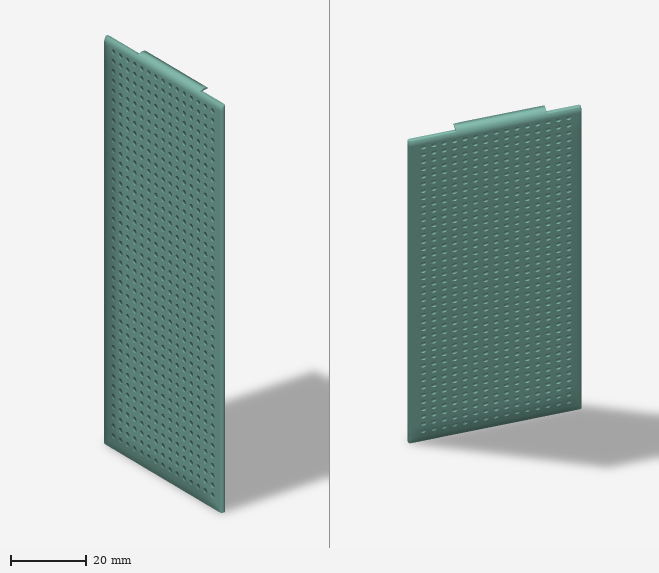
import cadquery as cq

width = 47.7
total_height = 127.7
thickness = 1.5
side_radius = 0.6
plate_height = 127.0

roll_radius = 2.2
roll_axis_y = roll_radius
roll_axis_z = total_height - roll_radius

lip_depth = 3.5
lip_width = 25.0
lip_center_x = 1.9

hole_diameter = 1.5
columns = 15
rows = 40
grid_width = 40.0
grid_height = 120.0
grid_center_x = 0.3
lowest_row_z = 4.1


def make_front_form():
    """Deep block with the outer shape of the part: flat front, rolled top, rounded front edges."""
    form = (
        cq.Workplane("YZ")
        .moveTo(0, 0)
        .lineTo(0, roll_axis_z)
        .radiusArc((roll_axis_y + roll_radius, roll_axis_z), roll_radius)
        .lineTo(roll_axis_y + roll_radius, 0)
        .close()
        .extrude(width / 2, both=True)
    )
    return form.faces("<Y").edges("|Z").fillet(side_radius)


def make_plate_zone():
    """Extent of the plate, with its rear side edges rounded."""
    bar = cq.Workplane("XY").box(width, thickness, plate_height, centered=(True, False, False))
    return bar.faces(">Y").edges("|Z").fillet(side_radius)


def make_lip_zone():
    """Extent of the lip: a block from the level of the plate top up, reaching behind the plate."""
    lip_height = total_height - plate_height
    return (
        cq.Workplane("XY", origin=(lip_center_x, 0, plate_height))
        .box(lip_width, lip_depth, lip_height, centered=(True, False, False))
    )


def make_hole_pins():
    """Pins that cut the through holes, on a rectangular grid."""
    return (
        cq.Workplane("XZ", origin=(grid_center_x, 0, lowest_row_z + grid_height / 2))
        .rarray(grid_width / (columns - 1), grid_height / (rows - 1), columns, rows)
        .circle(hole_diameter / 2)
        .extrude(-thickness)
    )


panel = make_front_form().intersect(make_plate_zone().union(make_lip_zone()))

result = panel.cut(make_hole_pins())